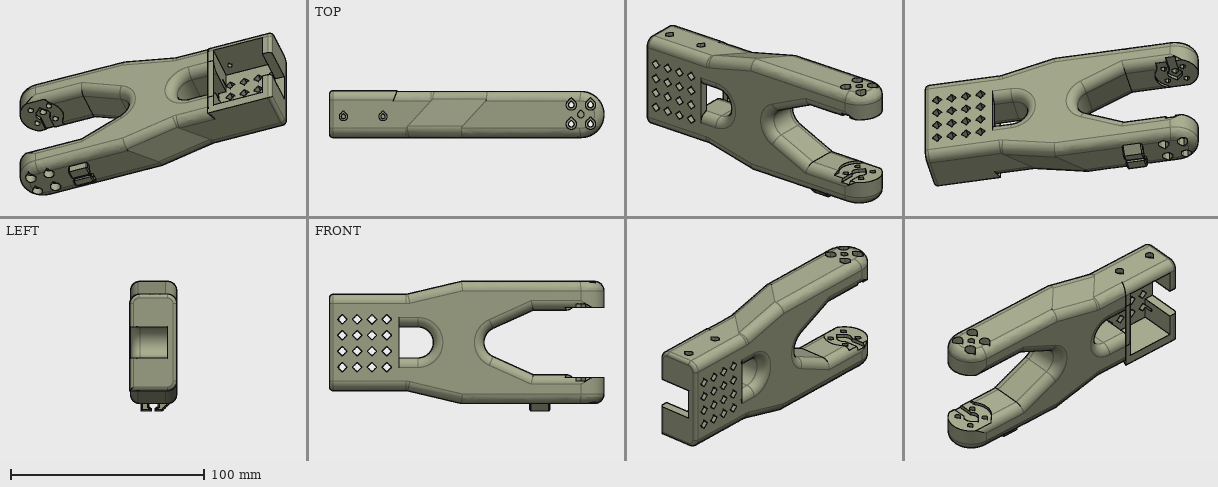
import cadquery as cq
import math

length = 142.2
depth = 24.0
edge_radius = 5.0
tip_radius = depth / 2
tip_x = length - tip_radius
tip_y = depth / 2
grip_half_height = 25.0
fork_half_height = 31.7

shoulder_start_x = 35.0
shoulder_run = 28.3
shoulder_skew = 22.2

step_depth = 24.5
step_end_x = 35.1
step_base_x = 33.0
step_base_y = depth - edge_radius
grip_end_radius = 2.0

mouth_radius = 8.0
mouth_center_x = 88.0
jaw_start_x = 105.5
jaw_half_gap = 16.6

wall = 5.0
cavity_end_x = 32.0
cavity_half_height = grip_half_height - wall
slot_half_height = 8.1
finger_radius = 8.0
finger_center_x = 45.8
front_wall_end_x = 36.1

vent_rows = 4
vent_columns = 4
vent_half_diagonal = 2.4
vent_first_x = 6.7
vent_pitch_x = 7.7
vent_pitch_z = 8.2
vent_center_z = -0.4

grip_screw_xs = (7.3, 27.7)
grip_screw_y = 11.0
grip_screw_radius = 1.1
grip_head_radius = 2.1
grip_head_depth = 2.8

pad_half_gap = 18.0
pad_radius = 10.5
pad_start_x = 122.1
pad_hole_offset = 5.0
pad_hole_radius = 1.4
pad_head_radius = 2.7
pad_head_depth = 5.0
center_hole_radius = 1.7
hub_radius = 3.8
hub_depth = 1.8
hub_channel_width = 5.0

clip_start_x = 103.6
clip_length = 10.5
clip_height = 3.8
clip_chamfer = 0.7
clip_straight_side_y = 18.5
clip_sloped_root_y = 3.1
clip_sloped_bottom_y = 7.7
clip_throat_y = (9.8, 14.5)
clip_lip_y = (11.4, 13.2)
clip_lip_start = 1.5
clip_lip_full = 2.5
clip_overlap = 0.7

past = 14.2


def block(x_range, y_range, z_range):
    """Axis-aligned box given by its limits."""
    sizes = [high - low for low, high in (x_range, y_range, z_range)]
    corner = (x_range[0], y_range[0], z_range[0])
    return cq.Workplane("XY").box(*sizes, centered=False).translate(corner)


def teardrop(x, y, radius, z_low, z_high):
    """Vertical hole whose roof comes to a 90 degree point toward +Y."""
    tangent = radius / math.sqrt(2)
    return (
        cq.Workplane("XY", origin=(x, y, z_low))
        .moveTo(-tangent, tangent)
        .threePointArc((0, -radius), (tangent, tangent))
        .lineTo(0, radius * math.sqrt(2))
        .close()
        .extrude(z_high - z_low)
    )


def flared(profile):
    """Cutter through the depth of the body that leaves rounded rims on both faces."""
    plate = block((-past, length + past), (0, depth), (-length, length))
    straight_cut = profile.extrude(-depth)
    rims = plate.cut(straight_cut)
    inside = cq.selectors.BoxSelector(
        (0, -past, -fork_half_height), (length, depth + past, fork_half_height)
    )
    rims = rims.faces("<Y or >Y").edges(inside).fillet(edge_radius)
    return plate.cut(rims)


def arm():
    """Outer shape: skewed outline with a round tip and rounded front and back edges."""
    def outline(bend_x):
        upper = [
            (0, grip_half_height),
            (bend_x, grip_half_height),
            (bend_x + shoulder_run, fork_half_height),
            (length, fork_half_height),
        ]
        return upper + [(x, -z) for x, z in reversed(upper)]

    body = (
        cq.Workplane("XZ")
        .polyline(outline(shoulder_start_x)).close()
        .workplane(offset=-depth)
        .polyline(outline(shoulder_start_x + shoulder_skew)).close()
        .loft(ruled=True)
    )
    plan = (
        cq.Workplane("XY", origin=(0, 0, -fork_half_height))
        .lineTo(tip_x, 0)
        .threePointArc((length, tip_y), (tip_x, depth))
        .lineTo(0, depth)
        .close()
        .extrude(2 * fork_half_height)
    )
    body = body.intersect(plan)
    tip_edges = body.faces("<Z or >Z").edges("%CIRCLE").vals()
    long_edges = [
        edge
        for edge in body.faces("<Y or >Y").edges().vals()
        if 0 < round(edge.Center().x, 3) < tip_x
    ]
    return body.newObject(long_edges + tip_edges).fillet(edge_radius)


def grip_step():
    """Slightly deeper back of the grip, rounded along the top and square along the bottom."""
    step = (
        cq.Workplane("XY", origin=(0, 0, -grip_half_height))
        .moveTo(0, depth / 2)
        .lineTo(step_base_x, depth / 2)
        .lineTo(step_base_x, step_base_y)
        .lineTo(step_end_x, step_depth)
        .lineTo(0, step_depth)
        .close()
        .extrude(2 * grip_half_height)
    )
    return step.faces(">Z").edges(">Y").fillet(edge_radius)


def mouth():
    """Fork opening: round root, tangent flanks, then parallel jaws."""
    reach = jaw_start_x - mouth_center_x
    to_jaw = math.hypot(reach, jaw_half_gap)
    angle = math.atan2(jaw_half_gap, reach) + math.acos(mouth_radius / to_jaw)
    tangent_x = mouth_center_x + mouth_radius * math.cos(angle)
    tangent_z = mouth_radius * math.sin(angle)
    profile = (
        cq.Workplane("XZ")
        .moveTo(tangent_x, -tangent_z)
        .threePointArc((mouth_center_x - mouth_radius, 0), (tangent_x, tangent_z))
        .lineTo(jaw_start_x, jaw_half_gap)
        .lineTo(length + past, jaw_half_gap)
        .lineTo(length + past, -jaw_half_gap)
        .lineTo(jaw_start_x, -jaw_half_gap)
        .close()
    )
    return flared(profile)


def finger_hole():
    """D-shaped hole whose straight end runs behind the front wall into the cavity."""
    profile = (
        cq.Workplane("XZ")
        .moveTo(-past, -finger_radius)
        .lineTo(finger_center_x, -finger_radius)
        .threePointArc((finger_center_x + finger_radius, 0), (finger_center_x, finger_radius))
        .lineTo(-past, finger_radius)
        .close()
    )
    kept = block((front_wall_end_x, length), (0, depth), (-length, length)).union(
        block((cavity_end_x, front_wall_end_x), (wall, depth), (-length, length))
    )
    return flared(profile).intersect(kept)


def grip_cavity():
    """Box open at the back, with a slot through the end wall."""
    cavity = block(
        (wall, cavity_end_x), (wall, step_depth), (-cavity_half_height, cavity_half_height)
    )
    slot = block((0, wall), (wall, step_depth), (-slot_half_height, slot_half_height))
    return cavity.union(slot)


def vents():
    """Grid of diamond holes through the front wall."""
    side = vent_half_diagonal * math.sqrt(2)
    cuts = cq.Workplane("XZ")
    for column in range(vent_columns):
        for row in range(vent_rows):
            x = vent_first_x + column * vent_pitch_x
            z = vent_center_z + (row - (vent_rows - 1) / 2) * vent_pitch_z
            vent = cq.Workplane("XY").box(side, 2 * wall, side).rotate((0, 0, 0), (0, 1, 0), 45)
            cuts = cuts.add(vent.translate((x, wall, z)))
    return cuts.combine()


def grip_screws():
    """Counterbored teardrop holes through the upper wall of the grip."""
    cuts = cq.Workplane("XY")
    head_floor = grip_half_height - grip_head_depth
    for x in grip_screw_xs:
        cuts = cuts.add(teardrop(x, grip_screw_y, grip_screw_radius, cavity_half_height, head_floor))
        cuts = cuts.add(teardrop(x, grip_screw_y, grip_head_radius, head_floor, grip_half_height))
    return cuts.combine()


def upper_pad():
    """Recess, hub pocket with side channel, and screw holes of the upper jaw."""
    recess = (
        teardrop(tip_x, tip_y, pad_radius, 0, pad_half_gap)
        .union(block((pad_start_x, length), (0, tip_y), (0, pad_half_gap)))
        .union(block((tip_x, length), (0, depth), (0, pad_half_gap)))
    )
    hub_top = pad_half_gap + hub_depth
    half_width = hub_channel_width / 2
    cuts = recess.union(teardrop(tip_x, tip_y, hub_radius, 0, hub_top))
    cuts = cuts.union(block((tip_x - half_width, tip_x + half_width), (0, tip_y), (0, hub_top)))
    head_floor = fork_half_height - pad_head_depth
    for x in (tip_x - pad_hole_offset, tip_x + pad_hole_offset):
        for y in (tip_y - pad_hole_offset, tip_y + pad_hole_offset):
            cuts = cuts.union(teardrop(x, y, pad_hole_radius, 0, fork_half_height))
            cuts = cuts.union(teardrop(x, y, pad_head_radius, head_floor, fork_half_height))
    return cuts


def clip():
    """Two facing hooks, one straight and one sloped, with chamfered ends."""
    base = -fork_half_height
    top = base + clip_overlap
    bottom = base - clip_height

    def inner_side(index):
        return [
            (clip_lip_y[index], bottom),
            (clip_lip_y[index], base - clip_lip_full),
            (clip_throat_y[index], base - clip_lip_start),
            (clip_throat_y[index], top),
        ]

    sloped_hook = [(clip_sloped_root_y, top), (clip_sloped_bottom_y, bottom)] + inner_side(0)
    straight_hook = [(clip_straight_side_y, top), (clip_straight_side_y, bottom)] + inner_side(1)
    hooks = []
    for profile in (straight_hook, sloped_hook):
        hook = (
            cq.Workplane("YZ", origin=(clip_start_x, 0, 0))
            .polyline(profile)
            .close()
            .extrude(clip_length)
        )
        for end in ("<X", ">X"):
            hook = hook.faces(end).edges("not >Z").chamfer(clip_chamfer)
        hooks.append(hook)
    return hooks


body = arm().union(grip_step())
body = body.faces("<X").edges().fillet(grip_end_radius)
body = body.cut(mouth()).cut(finger_hole()).cut(grip_cavity()).cut(vents()).cut(grip_screws())

pad = upper_pad()
body = body.cut(pad).cut(pad.mirror("XY"))

body = body.cut(teardrop(tip_x, tip_y, center_hole_radius, 0, fork_half_height))

result = body
for hook in clip():
    result = result.union(hook)